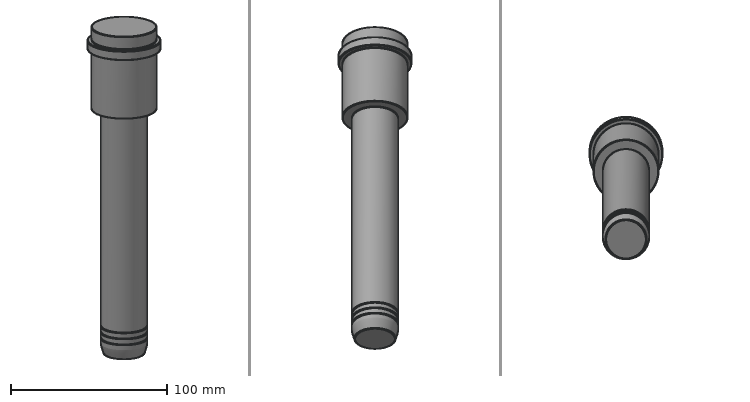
import cadquery as cq

total_length = 220.0
head_length = 55.5
flange_thickness = 6.2
flange_top_depth = 9.0

shaft_diameter = 30.0
head_diameter = 42.0
flange_diameter = 47.0

head_chamfer = 0.5
flange_chamfer = 0.5
tip_chamfer = 0.5

relief_width = 0.75
relief_depth = 0.25

groove_count = 3
groove_pitch = 4.0
groove_width = 0.6
groove_depth = 0.5
lowest_groove_z = 10.5

lead_in_length = 7.0
tip_diameter = 26.2
lead_in_bulge = 0.2

head_bottom_z = total_length - head_length
flange_top_z = total_length - flange_top_depth
flange_bottom_z = flange_top_z - flange_thickness


def disc(diameter, bottom_z, height):
    """Cylinder on the pin axis."""
    return cq.Workplane("XY").workplane(offset=bottom_z).circle(diameter / 2).extrude(height)


def ring_groove(diameter, depth, bottom_z, width):
    """Ring to cut from a cylinder of the given diameter."""
    return disc(diameter, bottom_z, width).cut(disc(diameter - 2 * depth, bottom_z, width))


def make_shaft():
    """Shaft with its rounded lead-in and grooves, reaching up to the head."""
    shaft_radius = shaft_diameter / 2
    tip_radius = tip_diameter / 2
    arc_middle = ((shaft_radius + tip_radius) / 2 + lead_in_bulge, lead_in_length / 2)
    shaft = (
        cq.Workplane("XZ")
        .lineTo(tip_radius, 0)
        .threePointArc(arc_middle, (shaft_radius, lead_in_length))
        .lineTo(shaft_radius, head_bottom_z)
        .lineTo(0, head_bottom_z)
        .close()
        .revolve(360, (0, 0, 0), (0, 1, 0))
    )
    shaft = shaft.faces("<Z").chamfer(tip_chamfer)
    for index in range(groove_count):
        groove_z = lowest_groove_z + index * groove_pitch - groove_width / 2
        shaft = shaft.cut(ring_groove(shaft_diameter, groove_depth, groove_z, groove_width))
    relief = ring_groove(shaft_diameter, relief_depth, head_bottom_z - relief_width, relief_width)
    return shaft.cut(relief)


def make_head():
    """Cylindrical head with chamfered ends and relief grooves beside the flange."""
    head = disc(head_diameter, head_bottom_z, head_length)
    head = head.edges("%CIRCLE").chamfer(head_chamfer)
    for groove_z in (flange_top_z, flange_bottom_z - relief_width):
        head = head.cut(ring_groove(head_diameter, relief_depth, groove_z, relief_width))
    return head


def make_flange():
    """Locating flange with both rims chamfered."""
    return disc(flange_diameter, flange_bottom_z, flange_thickness).edges("%CIRCLE").chamfer(flange_chamfer)


result = make_shaft().union(make_head()).union(make_flange())